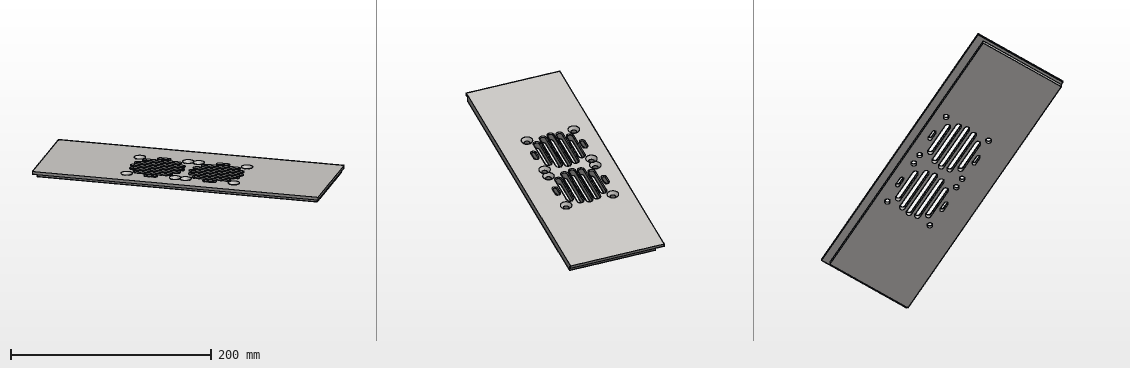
import cadquery as cq

plate_length = 296.0
plate_width = 100.0
plate_thickness = 3.0
total_height = 8.0

block_end_inset = 3.0
block_front_inset = 8.0

vent_pitch = 61.0
vent_y = -5.0

row_pitch = 9.0
slot_width = 5.5
slot_lengths = [54.2, 50.5, 38.2]
end_slot_y = 26.0
end_slot_length = 11.8
end_slot_width = 3.8
slot_chamfer = 1.0

screw_spacing = 50.0
screw_diameter = 5.5
countersink_diameter = 11.5
countersink_angle = 90


def make_body():
    """Plate resting on the backing block, with the bottom face at Z = 0."""
    block_length = plate_length - 2 * block_end_inset
    block_width = plate_width - block_front_inset
    block_height = total_height - plate_thickness
    block = (
        cq.Workplane("XY")
        .center(0, block_front_inset / 2)
        .rect(block_length, block_width)
        .extrude(block_height)
    )
    plate = (
        cq.Workplane("XY")
        .workplane(offset=block_height)
        .rect(plate_length, plate_width)
        .extrude(plate_thickness)
    )
    return block.union(plate)


def slot_cutter(x, y, length, width):
    """Through slot with round ends that widens in a chamfer at the top face."""
    wide_length = length + 2 * slot_chamfer
    wide_width = width + 2 * slot_chamfer
    through = (
        cq.Workplane("XY")
        .center(x, y)
        .slot2D(length, width)
        .extrude(total_height)
    )
    chamfer = (
        cq.Workplane("XY")
        .workplane(offset=total_height)
        .center(x, y)
        .slot2D(wide_length, wide_width)
        .extrude(-slot_chamfer, taper=45)
    )
    return through.union(chamfer)


def cut_vent_slots(body, vent_x):
    """Five long slots, plus one short slot beyond each outer row."""
    for side in (-1, 1):
        for row, length in enumerate(slot_lengths):
            if row == 0 and side < 0:
                continue
            row_y = vent_y + side * row * row_pitch
            body = body.cut(slot_cutter(vent_x, row_y, length, slot_width))
        short_y = vent_y + side * end_slot_y
        body = body.cut(slot_cutter(vent_x, short_y, end_slot_length, end_slot_width))
    return body


def cut_screw_holes(body, vent_x):
    """Square pattern of four countersunk holes around one vent."""
    return (
        body.faces(">Z")
        .workplane(origin=(vent_x, vent_y, total_height))
        .rect(screw_spacing, screw_spacing, forConstruction=True)
        .vertices()
        .cskHole(screw_diameter, countersink_diameter, countersink_angle)
    )


result = make_body()
for vent_x in (-vent_pitch / 2, vent_pitch / 2):
    result = cut_vent_slots(result, vent_x)
    result = cut_screw_holes(result, vent_x)